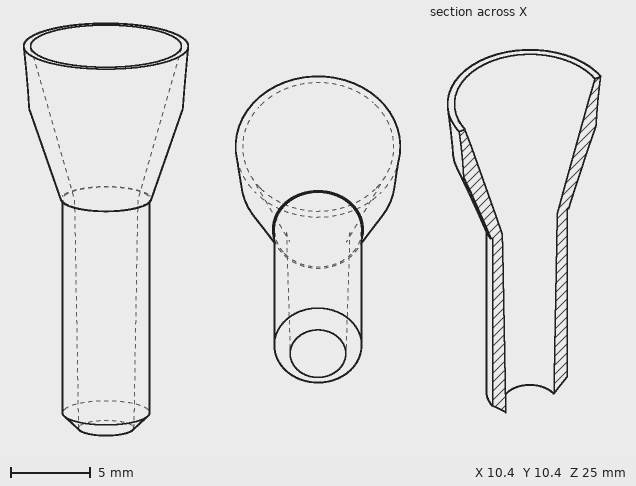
import cadquery as cq

total_height = 25.0
tip_height = 1.0
stem_top = 15.0
cup_bottom = 21.0

rim_diameter = 10.38
cup_bottom_diameter = 9.7
cone_bottom_diameter = 5.7
stem_diameter = 5.5

funnel_top_diameter = 9.5
bore_top_diameter = 4.0
bore_tip_diameter = 3.5


def turned_solid(stations):
    """Revolve (diameter, height) stations, listed from bottom to top, about Z."""
    bottom_height = stations[0][1]
    top_height = stations[-1][1]
    outline = [(diameter / 2, height) for diameter, height in stations]
    return (
        cq.Workplane("XZ")
        .polyline([(0, bottom_height), *outline, (0, top_height)])
        .close()
        .revolve(360, (0, 0), (0, 1))
    )


body = turned_solid([
    (bore_tip_diameter, 0),
    (stem_diameter, tip_height),
    (stem_diameter, stem_top),
    (cone_bottom_diameter, stem_top),
    (cup_bottom_diameter, cup_bottom),
    (rim_diameter, total_height),
])

cavity = turned_solid([
    (bore_tip_diameter, 0),
    (bore_top_diameter, stem_top),
    (funnel_top_diameter, total_height),
])

result = body.cut(cavity)